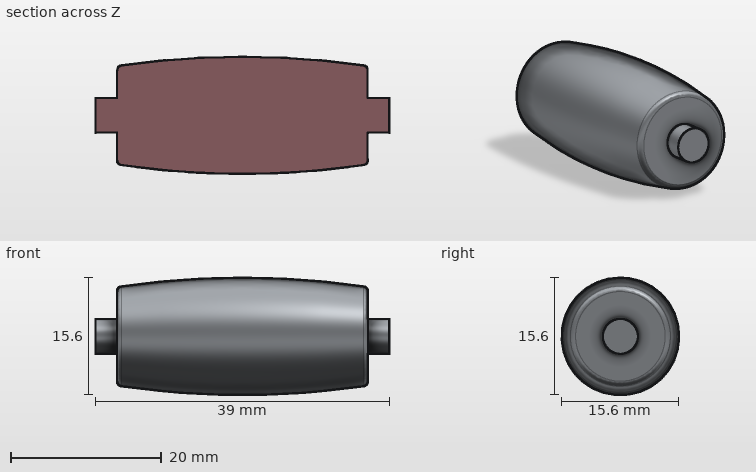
import cadquery as cq

total_length = 39.0
body_length = 33.3
middle_diameter = 15.6
end_diameter = 13.1
pin_diameter = 4.65
edge_radius = 0.7

half_body = body_length / 2
middle_radius = middle_diameter / 2
end_radius = end_diameter / 2


def make_body():
    """Barrel-shaped roller: an arc revolved about X, with rounded end edges."""
    profile = (
        cq.Workplane("XZ")
        .moveTo(-half_body, 0)
        .lineTo(-half_body, end_radius)
        .threePointArc((0, middle_radius), (half_body, end_radius))
        .lineTo(half_body, 0)
        .close()
    )
    barrel = profile.revolve(360, (0, 0, 0), (1, 0, 0))
    return barrel.faces("<X or >X").edges().fillet(edge_radius)


def make_pin():
    """Straight pin along the axis, projecting equally from both ends of the body."""
    return cq.Workplane("YZ").circle(pin_diameter / 2).extrude(total_length / 2, both=True)


result = make_body().union(make_pin())